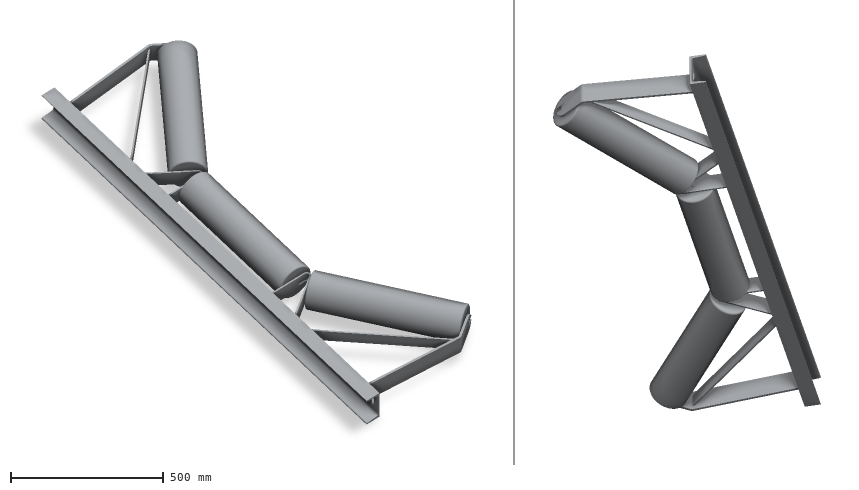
import cadquery as cq
import math


BEAM_LENGTH = 1700.0
BEAM_HEIGHT = 119.0
FLANGE_DEPTH = 55.0
WEB_THICKNESS = 5.0
FLANGE_MID_THICKNESS = 7.8
FLANGE_TAPER = 0.1
ROOT_RADIUS = 7.5
TIP_RADIUS = 4.0
MOUNT_SLOT_WIDTH = 14.0
MOUNT_SLOT_HEIGHT = 37.0
MOUNT_SLOT_END_DISTANCE = 30.0

ROLLER_RADIUS = 66.0
ROLLER_LENGTH = 529.0
ROLLER_EDGE_RADIUS = 5.0
SHAFT_DIAMETER = 19.0
TROUGH_ANGLE = 35.0
CENTRE_ROLLER_Y = 117.0
SIDE_ROLLER_X = 535.0
SIDE_ROLLER_Y = 287.0

CENTRE_SEAT = 272.0
SIDE_SEAT = 274.0

OUTER_THICKNESS = 8.0
OUTER_WIDTH = 75.0
OUTER_FOOT_X = 780.0
OUTER_BEND_Y = 370.0
OUTER_BEND_RADIUS = 8.0
OUTER_TIP_RISE = 32.0

INNER_THICKNESS = 6.0
INNER_WIDTH = 60.0
INNER_BEND_RADIUS = 8.0

BRACE_THICKNESS = 6.0
BRACE_WIDTH = 46.0
BRACE_FOOT_X = 455.0
BRACE_TOP_DROP = 2.0

SEAT_CUT_DEPTH = 2 * OUTER_THICKNESS
SEAT_SLOT_REACH = 85.0
FOOT_OVERRUN = 17.0

SIN_TROUGH = math.sin(math.radians(TROUGH_ANGLE))
COS_TROUGH = math.cos(math.radians(TROUGH_ANGLE))


def side_point(along, rise):
    """Point in XY, measured from the right roller's centre along and square to its axis."""
    return (
        SIDE_ROLLER_X + along * COS_TROUGH - rise * SIN_TROUGH,
        SIDE_ROLLER_Y + along * SIN_TROUGH + rise * COS_TROUGH,
    )


def point_at_height(start, end, y):
    """Point at height y on the straight line through two points."""
    share = (y - start[1]) / (end[1] - start[1])
    return (start[0] + share * (end[0] - start[0]), y)


def left_normal(start, end):
    """Unit vector square to the path from start to end, pointing to its left."""
    length = math.dist(start, end)
    return ((start[1] - end[1]) / length, (end[0] - start[0]) / length)


def shift(point, vector, amount):
    return (point[0] + amount * vector[0], point[1] + amount * vector[1])


def nearest(x, y, z):
    """Selector for the edge closest to a point."""
    return cq.selectors.NearestToPointSelector((x, y, z))


def flat_plate(outline, width):
    """Plate with the given XY outline, centred on Z = 0."""
    return cq.Workplane("XY", origin=(0, 0, -width / 2)).polyline(outline).close().extrude(width)


def bent_plate(points, thickness, width, inside_radius):
    """Plate following a foot, bend and tip in the middle of its thickness, turning left at the bend."""
    foot, bend, tip = points
    first_normal = left_normal(foot, bend)
    last_normal = left_normal(bend, tip)
    cos_turn = first_normal[0] * last_normal[0] + first_normal[1] * last_normal[1]
    mitre = shift(first_normal, last_normal, 1)
    half = thickness / 2
    mitre_half = half / (1 + cos_turn)
    inside_bend = shift(bend, mitre, mitre_half)
    outside_bend = shift(bend, mitre, -mitre_half)
    outline = [
        shift(foot, first_normal, half),
        inside_bend,
        shift(tip, last_normal, half),
        shift(tip, last_normal, -half),
        outside_bend,
        shift(foot, first_normal, -half),
    ]
    plate = flat_plate(outline, width)
    plate = plate.edges(nearest(*inside_bend, 0)).fillet(inside_radius)
    return plate.edges(nearest(*outside_bend, 0)).fillet(inside_radius + thickness)


def trim_at_beam(body):
    """Cut away whatever lies below the back of the beam web."""
    waste = cq.Workplane("XY").box(BEAM_LENGTH, 2 * FOOT_OVERRUN, BEAM_HEIGHT)
    return body.cut(waste.translate((0, -FOOT_OVERRUN, 0)))


def tilt_to_right_side(body):
    """Carry a body from the origin to the right roller's place."""
    return body.rotate((0, 0, 0), (0, 0, 1), TROUGH_ANGLE).translate((SIDE_ROLLER_X, SIDE_ROLLER_Y, 0))


def make_beam():
    half_height = BEAM_HEIGHT / 2
    half_rise = FLANGE_TAPER * (FLANGE_DEPTH - WEB_THICKNESS) / 2
    tip_z = half_height - FLANGE_MID_THICKNESS + half_rise
    root_z = half_height - FLANGE_MID_THICKNESS - half_rise
    outline = [
        (0, -half_height),
        (0, half_height),
        (-FLANGE_DEPTH, half_height),
        (-FLANGE_DEPTH, tip_z),
        (-WEB_THICKNESS, root_z),
        (-WEB_THICKNESS, -root_z),
        (-FLANGE_DEPTH, -tip_z),
        (-FLANGE_DEPTH, -half_height),
    ]
    beam = cq.Workplane("YZ", origin=(-BEAM_LENGTH / 2, 0, 0)).polyline(outline).close().extrude(BEAM_LENGTH)
    for side in (-1, 1):
        beam = beam.edges(nearest(0, -WEB_THICKNESS, side * root_z)).fillet(ROOT_RADIUS)
        beam = beam.edges(nearest(0, -FLANGE_DEPTH, side * tip_z)).fillet(TIP_RADIUS)
    slot_x = BEAM_LENGTH / 2 - MOUNT_SLOT_END_DISTANCE
    mount_slots = (
        cq.Workplane("XZ")
        .pushPoints([(-slot_x, 0), (slot_x, 0)])
        .slot2D(MOUNT_SLOT_HEIGHT, MOUNT_SLOT_WIDTH, 90)
        .extrude(FLANGE_DEPTH)
    )
    return beam.cut(mount_slots)


def make_roller(seat):
    """Roller about X, centred on the origin, with its shaft ending at the far faces of thin seats."""
    drum = cq.Workplane("YZ", origin=(-ROLLER_LENGTH / 2, 0, 0)).circle(ROLLER_RADIUS).extrude(ROLLER_LENGTH)
    drum = drum.faces("<X or >X").edges().fillet(ROLLER_EDGE_RADIUS)
    reach = seat + INNER_THICKNESS / 2
    shaft = cq.Workplane("YZ", origin=(-reach, 0, 0)).circle(SHAFT_DIAMETER / 2).extrude(2 * reach)
    return drum.union(shaft)


def make_seat_slot(x):
    """Cutter for a shaft slot in a seat at x: round about the shaft and open towards +Y."""
    round_end = cq.Workplane("YZ").circle(SHAFT_DIAMETER / 2).extrude(SEAT_CUT_DEPTH / 2, both=True)
    mouth = cq.Workplane("XY").box(SEAT_CUT_DEPTH, SEAT_SLOT_REACH, SHAFT_DIAMETER)
    return round_end.union(mouth.translate((0, SEAT_SLOT_REACH / 2, 0))).translate((x, 0, 0))


def make_tip_rounding():
    """Cutter that rounds the tip of an outer bracket to a half circle across its width."""
    radius = OUTER_WIDTH / 2
    tip_block = cq.Workplane("XY").box(SEAT_CUT_DEPTH, 2 * radius, 4 * radius).translate((0, radius, 0))
    round_tip = cq.Workplane("YZ").circle(radius).extrude(SEAT_CUT_DEPTH, both=True)
    return tip_block.cut(round_tip).translate((SIDE_SEAT, OUTER_TIP_RISE - radius, 0))


def outer_bend_point():
    """Bend of the right outer bracket, in the middle of the plate."""
    return point_at_height(side_point(SIDE_SEAT, 0), side_point(SIDE_SEAT, 17), OUTER_BEND_Y)


def make_outer_bracket():
    """Right outer bracket: up from the beam, then bent square to the side roller's axis."""
    bend = outer_bend_point()
    foot = point_at_height((OUTER_FOOT_X, 0), bend, -FOOT_OVERRUN)
    tip = side_point(SIDE_SEAT, OUTER_TIP_RISE)
    bracket = bent_plate([foot, bend, tip], OUTER_THICKNESS, OUTER_WIDTH, OUTER_BEND_RADIUS)
    bracket = bracket.cut(tilt_to_right_side(make_tip_rounding()))
    bracket = bracket.cut(tilt_to_right_side(make_seat_slot(SIDE_SEAT)))
    return trim_at_beam(bracket)


def make_inner_bracket():
    """Right inner bracket: an upright leg for the centre roller and a sloping one for the side roller."""
    side_seat = side_point(-SIDE_SEAT, 0)
    side_foot = point_at_height(side_seat, side_point(-SIDE_SEAT, 17), -FOOT_OVERRUN)
    apex = side_point(-SIDE_SEAT, (side_seat[0] - CENTRE_SEAT) / SIN_TROUGH)
    centre_foot = (CENTRE_SEAT, -FOOT_OVERRUN)
    bracket = bent_plate([side_foot, apex, centre_foot], INNER_THICKNESS, INNER_WIDTH, INNER_BEND_RADIUS)
    bracket = bracket.cut(make_seat_slot(CENTRE_SEAT).translate((0, CENTRE_ROLLER_Y, 0)))
    bracket = bracket.cut(tilt_to_right_side(make_seat_slot(-SIDE_SEAT)))
    return trim_at_beam(bracket)


def make_brace(outer_bracket):
    """Right diagonal brace, from the beam to just below the bend of the outer bracket."""
    top = point_at_height((OUTER_FOOT_X, 0), outer_bend_point(), OUTER_BEND_Y - BRACE_TOP_DROP)
    foot = point_at_height((BRACE_FOOT_X, 0), top, -FOOT_OVERRUN)
    normal = left_normal(foot, top)
    half = BRACE_THICKNESS / 2
    outline = [
        shift(foot, normal, half),
        shift(top, normal, half),
        shift(top, normal, -half),
        shift(foot, normal, -half),
    ]
    return trim_at_beam(flat_plate(outline, BRACE_WIDTH).cut(outer_bracket))


beam = make_beam()
centre_roller = make_roller(CENTRE_SEAT).translate((0, CENTRE_ROLLER_Y, 0))
side_roller = tilt_to_right_side(make_roller(SIDE_SEAT))
outer_bracket = make_outer_bracket()
inner_bracket = make_inner_bracket()
brace = make_brace(outer_bracket)

bodies = [beam.val(), centre_roller.val()]
for right_body in (side_roller, outer_bracket, inner_bracket, brace):
    bodies.append(right_body.val())
    bodies.append(right_body.mirror("YZ").val())

result = cq.Compound.makeCompound(bodies)